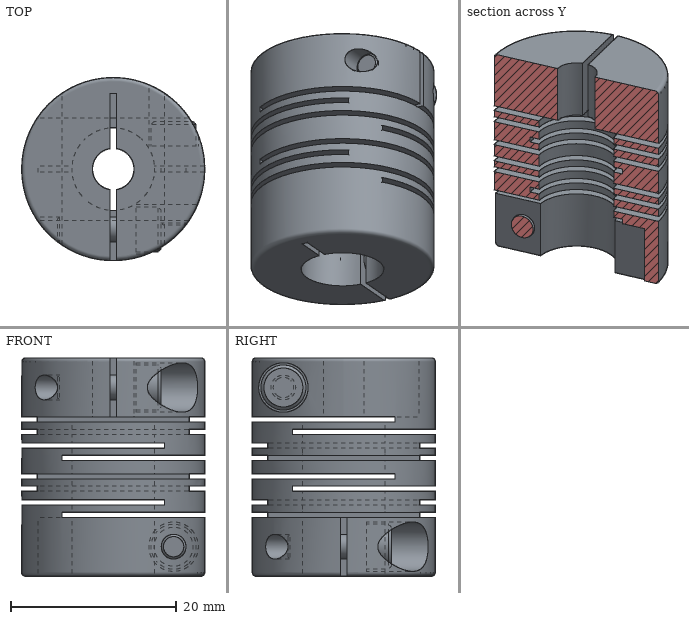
import cadquery as cq

height = 26.5
outer_diameter = 22.2
edge_radius = 0.5
small_bore_diameter = 5.0
large_bore_diameter = 2 * small_bore_diameter

slot_height = 0.6
slot_reach = 6.2
slot_offsets = (1.1, 2.6, 4.27, 5.78)

slit_width = 0.75
slit_reach = 9.15
screw_offset = 7.31
screw_height = 22.9
screw_diameter = 3.0
screw_tip_x = -6.78
tip_chamfer = 0.26
head_diameter = 5.45
head_top_x = 5.78
head_length = 3.0
head_chamfer = 0.37
head_pocket_diameter = 6.0

outer_radius = outer_diameter / 2
mid_height = height / 2
head_seat_x = head_top_x - head_length
clamp_base = mid_height + slot_offsets[-1] + slot_height / 2
oversize = 2 * outer_diameter


def rod_along_x(diameter, x_start, x_end):
    """Round bar on the axis of the upper clamp screw."""
    return (
        cq.Workplane("YZ", origin=(x_start, -screw_offset, screw_height))
        .circle(diameter / 2)
        .extrude(x_end - x_start)
    )


def make_body():
    body = cq.Workplane("XY").circle(outer_radius).extrude(height).edges().fillet(edge_radius)
    small_bore = cq.Workplane("XY").circle(small_bore_diameter / 2).extrude(height)
    large_bore = cq.Workplane("XY").circle(large_bore_diameter / 2).extrude(clamp_base)
    return body.cut(small_bore).cut(large_bore)


def make_slot(center_height, direction):
    """Slot entering from +X and ending at X = -slot_reach, turned about Z by direction degrees."""
    return (
        cq.Workplane("XY", origin=(-slot_reach, 0, center_height))
        .box(oversize, oversize, slot_height, centered=(False, True, True))
        .rotate((0, 0, 0), (0, 0, 1), direction)
    )


def make_slots():
    """Eight slots from the top down: two rounds entering from -Y, +Y, -X and +X."""
    upper_heights = [mid_height + offset for offset in reversed(slot_offsets)]
    lower_heights = [mid_height - offset for offset in slot_offsets]
    entry_directions = (270, 90, 180, 0) * 2
    return [
        make_slot(center_height, direction)
        for center_height, direction in zip(upper_heights + lower_heights, entry_directions)
    ]


def make_clamp_cut():
    """Upper clamp: slit open to -Y, screw hole and head pocket open to +X."""
    slit = cq.Workplane("XY", origin=(0, slit_reach, clamp_base)).box(
        slit_width, oversize, height - clamp_base, centered=(True, False, False)
    ).translate((0, -oversize, 0))
    screw_hole = rod_along_x(screw_diameter, -outer_radius, head_seat_x)
    head_pocket = rod_along_x(head_pocket_diameter, head_seat_x, outer_radius)
    return slit.union(screw_hole).union(head_pocket)


def make_screw():
    """Upper clamp screw, with its head towards +X and seated on the pocket floor."""
    shank = rod_along_x(screw_diameter, screw_tip_x, head_seat_x).faces("<X").chamfer(tip_chamfer)
    head = rod_along_x(head_diameter, head_seat_x, head_top_x).faces(">X").chamfer(head_chamfer)
    return shank.union(head)


def to_lower_clamp(shape):
    """Flip an upper clamp shape to the bottom and turn it so that -Y becomes +X."""
    return shape.mirror("XY", (0, 0, mid_height)).rotate((0, 0, 0), (0, 0, 1), 90)


result = make_body()
for slot in make_slots():
    result = result.cut(slot)

clamp_cut = make_clamp_cut()
screw = make_screw()
result = result.cut(clamp_cut).cut(to_lower_clamp(clamp_cut))
result = result.union(screw).union(to_lower_clamp(screw))